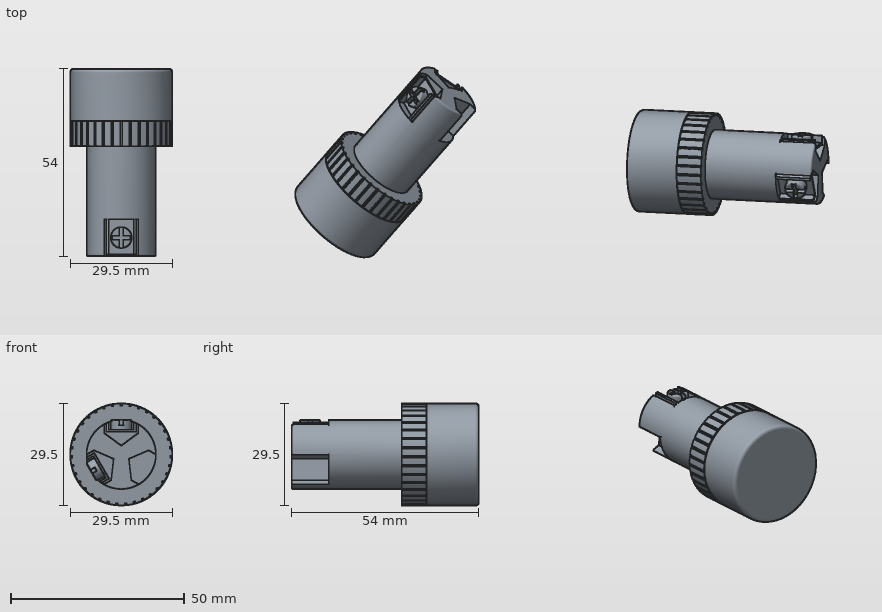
import cadquery as cq

total_length = 54.0
head_radius = 14.75
head_length = 22.3
head_back_fillet = 1.0
shank_radius = 10.0
shank_end_fillet = 0.5

notch_count = 35
notch_band_length = 7.2
notch_width = 0.5
notch_depth = 0.65

groove_width = 0.1
groove_depth = 0.1

bay_count = 3
bay_length = 10.7
bay_half_width = 4.95
bay_shoulder_height = 6.2
bay_apex_height = 2.55

clamp_wall = 0.65
clamp_half_width = 4.25
clamp_base_height = 6.55
clamp_setback = 0.5
clamp_bay_indices = (0, 1)

screw_radius = 3.0
screw_top_height = 10.0
screw_edge_fillet = 0.5
screw_slot_width = 1.2
screw_slot_depth = 1.5

shank_end = -total_length / 2
head_back = total_length / 2
head_front = head_back - head_length
bay_back = shank_end + bay_length
bay_angle = 360 / bay_count
clamp_floor_height = clamp_base_height + clamp_wall
screw_y = shank_end + bay_length / 2


def rod(radius, start_y, end_y):
    """Cylinder on the Y axis between two positions."""
    return cq.Workplane("XZ", origin=(0, end_y, 0)).circle(radius).extrude(end_y - start_y)


def around_axis(shape, angle):
    """Turn a shape about the Y axis, from the top (+Z) towards -X for a positive angle."""
    return shape.rotate((0, 0, 0), (0, 1, 0), -angle)


def box_between(half_width, start_y, end_y, low_z, high_z):
    """Box centred on X = 0 with the given Y and Z limits."""
    return cq.Workplane("XY").box(
        2 * half_width, end_y - start_y, high_z - low_z, centered=(True, False, False)
    ).translate((0, start_y, low_z))


def make_groove():
    """Thin ring cutter just behind the notches."""
    groove_front = head_front + notch_band_length
    groove_back = groove_front + groove_width
    outer = rod(head_radius + groove_depth, groove_front, groove_back)
    return outer.cut(rod(head_radius - groove_depth, groove_front, groove_back))


def make_head():
    head = rod(head_radius, head_front, head_back).faces(">Y").edges().fillet(head_back_fillet)
    notch = box_between(
        notch_width / 2,
        head_front,
        head_front + notch_band_length,
        head_radius - notch_depth,
        head_radius + notch_depth,
    )
    for index in range(notch_count):
        head = head.cut(around_axis(notch, index * 360 / notch_count))
    return head.cut(make_groove())


def make_bay():
    """Cutter with a pointed floor, open at the end and the side of the shank."""
    return (
        cq.Workplane("XZ", origin=(0, bay_back, 0))
        .moveTo(0, bay_apex_height)
        .lineTo(bay_half_width, bay_shoulder_height)
        .lineTo(bay_half_width, head_radius)
        .lineTo(-bay_half_width, head_radius)
        .lineTo(-bay_half_width, bay_shoulder_height)
        .close()
        .extrude(bay_length)
    )


def make_shank():
    shank = rod(shank_radius, shank_end, head_front).faces("<Y").edges().fillet(shank_end_fillet)
    bay = make_bay()
    for index in range(bay_count):
        shank = shank.cut(around_axis(bay, index * bay_angle))
    return shank


def make_screw():
    """Cross-slotted screw: one slot runs right across, the other stops at the rounded edge."""
    screw = (
        cq.Workplane("XY", origin=(0, screw_y, clamp_floor_height))
        .circle(screw_radius)
        .extrude(screw_top_height - clamp_floor_height)
        .faces(">Z")
        .edges()
        .fillet(screw_edge_fillet)
    )
    slot_floor = screw_top_height - screw_slot_depth
    open_slot = box_between(
        screw_slot_width / 2,
        screw_y - screw_radius,
        screw_y + screw_radius,
        slot_floor,
        screw_top_height,
    )
    closed_slot = box_between(
        screw_radius - screw_edge_fillet,
        screw_y - screw_slot_width / 2,
        screw_y + screw_slot_width / 2,
        slot_floor,
        screw_top_height,
    )
    return screw.cut(open_slot).cut(closed_slot)


def make_terminal():
    """Clamp channel with rims flush with the shank, and its screw."""
    clamp_front = shank_end + clamp_setback
    channel = box_between(clamp_half_width, clamp_front, bay_back, clamp_base_height, head_radius)
    trough = box_between(
        clamp_half_width - clamp_wall, clamp_front, bay_back, clamp_floor_height, head_radius
    )
    rim_limit = rod(shank_radius, clamp_front, bay_back)
    return channel.cut(trough).intersect(rim_limit).union(make_screw())


result = make_head().union(make_shank())
for bay_index in clamp_bay_indices:
    result = result.union(around_axis(make_terminal(), bay_index * bay_angle))